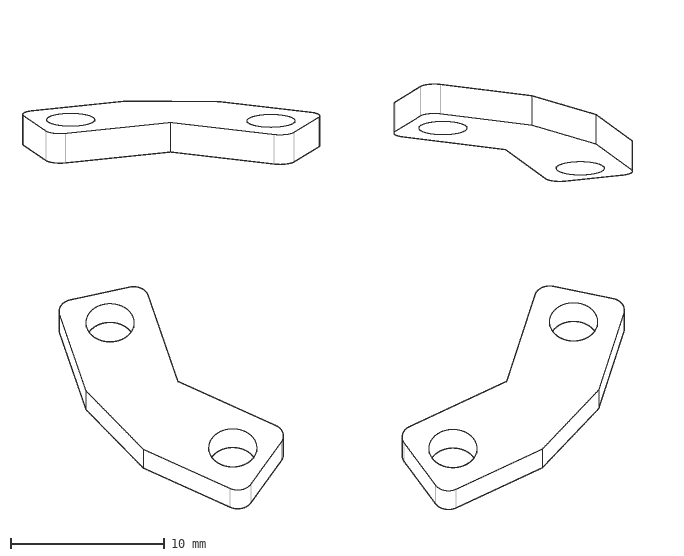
import cadquery as cq
import math

overall_length = 18.05
thickness = 2.0
arm_width = 6.0
corner_radius = 1.0
hole_diameter = 3.14
hole_end_distance = 2.5
bend_cut = 3.3
bend_angle = math.radians(45)

half_width = arm_width / 2
cosine = math.cos(bend_angle)
sine = math.sin(bend_angle)
rounded_corner_reach = (half_width - corner_radius) * sine - corner_radius * cosine + corner_radius
arm_length = (overall_length - rounded_corner_reach) / (1 + cosine)
miter_offset = half_width * math.tan(bend_angle / 2)


def on_sloped_arm(distance, offset):
    """Point at a distance from the bend and an offset towards the outer edge."""
    return (-distance * cosine - offset * sine, -distance * sine + offset * cosine)


right_end_corners = [(arm_length, half_width), (arm_length, -half_width)]
left_end_corners = [on_sloped_arm(arm_length, -half_width), on_sloped_arm(arm_length, half_width)]
inner_bend = (miter_offset, -half_width)
outer_bend = [
    on_sloped_arm(bend_cut - miter_offset, half_width),
    (bend_cut - miter_offset, half_width),
]
outline = right_end_corners + [inner_bend] + left_end_corners + outer_bend
plate = cq.Workplane("XY").polyline(outline).close().extrude(thickness)

for x, y in right_end_corners + left_end_corners:
    corner_edge = cq.selectors.NearestToPointSelector((x, y, thickness / 2))
    plate = plate.edges("|Z").edges(corner_edge).fillet(corner_radius)

hole_distance = arm_length - hole_end_distance
hole_centers = [(hole_distance, 0), on_sloped_arm(hole_distance, 0)]
result = plate.faces(">Z").workplane(origin=(0, 0, thickness)).pushPoints(hole_centers).hole(hole_diameter)